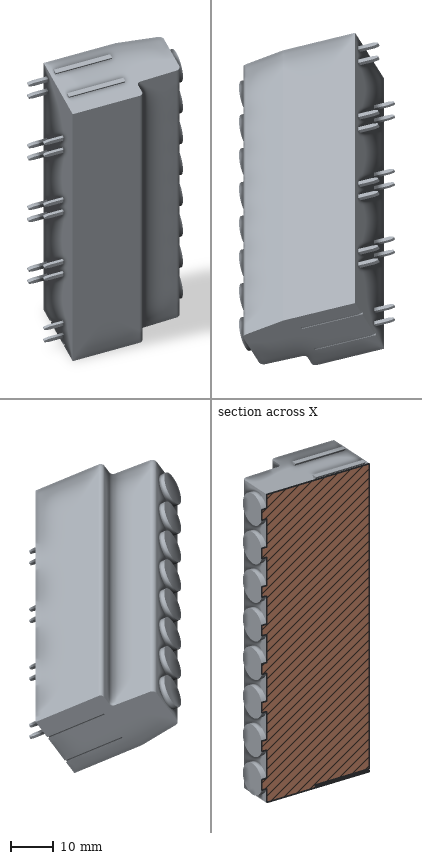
import cadquery as cq
import math


pole_count = 8
pole_pitch = 10.16
housing_length = pole_count * pole_pitch
housing_width = 18.7
housing_depth = 29.4
slope_start_y = 18.3
crown_left_x = 1.9
crown_right_x = 13.9
step_x = 14.3
step_y = 18.0
crown_radius = 1.2
step_radius = 1.0

screw_diameter = 8.15
screw_x = 7.5
overall_depth = 35.8
pin_length = 5.0
screw_height = overall_depth - pin_length - housing_depth

row_spacing = 10.16
left_row_x = 2.5
right_row_x = left_row_x + row_spacing
left_pin_width = 1.0
right_pin_width = 0.75
pin_height = 1.0
pin_gap = 4.0
pin_tip_height = 0.66
pin_tip_length = 1.3

dovetail_xs = (4.32, 12.88)
dovetail_rise = 0.75
dovetail_outer_width = 1.35
dovetail_neck_width = 0.55
dovetail_corner_radius = 0.12
tongue_start_y = 1.1
tongue_end_y = 15.4


def make_housing():
    profile = (
        cq.Workplane("XY")
        .polyline([
            (0, 0),
            (housing_width, 0),
            (housing_width, step_y),
            (step_x, step_y),
            (crown_right_x, housing_depth),
            (crown_left_x, housing_depth),
            (0, slope_start_y),
        ])
        .close()
        .extrude(housing_length)
    )
    crown_edges = profile.faces(">Y").edges("|Z")
    rounded = crown_edges.fillet(crown_radius)
    step_region = cq.selectors.BoxSelector(
        (step_x - step_radius, step_y - step_radius, 0),
        (housing_width + step_radius, step_y + step_radius, housing_length),
    )
    return rounded.edges("|Z").edges(step_region).fillet(step_radius)


def make_dovetail(center_x, base_z, start_y, end_y):
    """Bar along Y that widens upward from its neck at base_z to a crest with rounded corners."""
    half_neck = dovetail_neck_width / 2
    half_outer = dovetail_outer_width / 2
    half_crest = half_outer - dovetail_corner_radius
    shoulder_z = dovetail_rise - dovetail_corner_radius
    arc_offset = dovetail_corner_radius * math.sin(math.radians(45))
    arc_x = half_crest + arc_offset
    arc_z = shoulder_z + arc_offset
    return (
        cq.Workplane("XZ", origin=(center_x, start_y, base_z))
        .moveTo(-half_neck, 0)
        .lineTo(half_neck, 0)
        .lineTo(half_outer, shoulder_z)
        .threePointArc((arc_x, arc_z), (half_crest, dovetail_rise))
        .lineTo(-half_crest, dovetail_rise)
        .threePointArc((-arc_x, arc_z), (-half_outer, shoulder_z))
        .close()
        .extrude(start_y - end_y)
    )


def make_screw(center_z):
    return (
        cq.Workplane("XZ", origin=(screw_x, housing_depth, center_z))
        .circle(screw_diameter / 2)
        .extrude(-screw_height)
    )


def make_pin(center_x, center_z, width):
    """Flat pin towards -Y whose tip tapers in height to a round nose."""
    half_height = pin_height / 2
    half_tip = pin_tip_height / 2
    taper_y = pin_tip_length - pin_length
    nose_y = half_tip - pin_length
    return (
        cq.Workplane("YZ", origin=(center_x - width / 2, 0, center_z))
        .moveTo(0, -half_height)
        .lineTo(0, half_height)
        .lineTo(taper_y, half_height)
        .lineTo(nose_y, half_tip)
        .threePointArc((-pin_length, 0), (nose_y, -half_tip))
        .lineTo(taper_y, -half_height)
        .close()
        .extrude(width)
    )


result = make_housing()

for dovetail_x in dovetail_xs:
    result = result.union(make_dovetail(dovetail_x, housing_length, tongue_start_y, tongue_end_y))
    result = result.cut(make_dovetail(dovetail_x, 0, 0, tongue_end_y))

for pole in range(pole_count):
    pole_z = (pole + 0.5) * pole_pitch
    result = result.union(make_screw(pole_z))
    in_right_row = pole % 2 == 0
    pin_x = right_row_x if in_right_row else left_row_x
    pin_width = right_pin_width if in_right_row else left_pin_width
    for side in (-1, 1):
        result = result.union(make_pin(pin_x, pole_z + side * pin_gap / 2, pin_width))